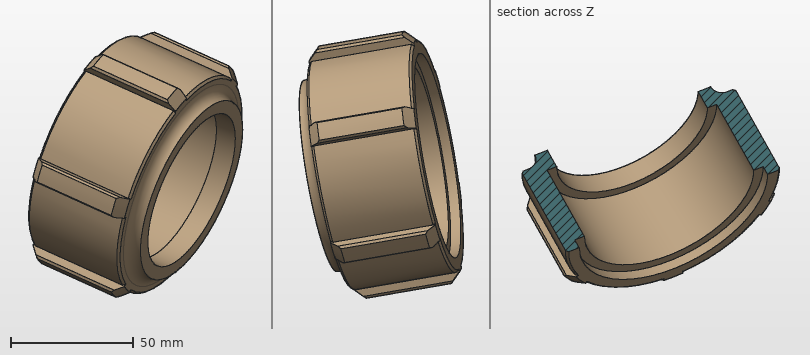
import cadquery as cq
import math

body_length = 44.0
total_length = 49.0
body_radius = 96.7 / 2
edge_chamfer = 1.0

through_radius = 67.9 / 2
main_bore_radius = 76.4 / 2
mouth_radius = 84.9 / 2
mouth_depth = 4.2
main_bore_depth = 40.0

neck_end_radius = 39.8
neck_round = total_length - body_length

rib_count = 6
rib_tip_radius = 52.7
rib_half_angle = math.radians(5.1)
rib_root_radius = 45.4
rib_end_chamfer = 4.2
rib_corner_width = 0.8
rib_corner_height = 1.3


def make_body():
    """Solid ring body and neck, before boring."""
    arc_offset = neck_round * math.sqrt(0.5)
    arc_middle = (
        total_length - arc_offset,
        neck_end_radius + neck_round - arc_offset,
    )
    return (
        cq.Workplane("XY")
        .lineTo(0, body_radius - edge_chamfer)
        .lineTo(edge_chamfer, body_radius)
        .lineTo(body_length - edge_chamfer, body_radius)
        .lineTo(body_length, body_radius - edge_chamfer)
        .lineTo(body_length, neck_end_radius + neck_round)
        .threePointArc(arc_middle, (total_length, neck_end_radius))
        .lineTo(total_length, 0)
        .close()
        .revolve(360, (0, 0, 0), (1, 0, 0))
    )


def make_rib_envelope():
    """Cylinder with conical ends that trims the rib tips and rib ends."""
    return (
        cq.Workplane("YZ")
        .circle(rib_tip_radius)
        .extrude(body_length)
        .faces("<X or >X")
        .chamfer(rib_end_chamfer)
    )


def make_rib():
    """Rib on the +Z side: it widens outwards and has bevelled tip corners."""
    flank_slope = math.tan(rib_half_angle)
    shoulder_z = rib_tip_radius - rib_corner_height
    root_y = rib_root_radius * flank_slope
    shoulder_y = shoulder_z * flank_slope
    tip_y = shoulder_y - rib_corner_width
    outline = [
        (-root_y, rib_root_radius),
        (-shoulder_y, shoulder_z),
        (-tip_y, rib_tip_radius),
        (tip_y, rib_tip_radius),
        (shoulder_y, shoulder_z),
        (root_y, rib_root_radius),
    ]
    return cq.Workplane("YZ").polyline(outline).close().extrude(body_length)


def cut_bore(part, radius, depth):
    """Bore a round hole from the open face."""
    return part.cut(cq.Workplane("YZ").circle(radius).extrude(depth))


result = make_body()

rib = make_rib().intersect(make_rib_envelope())
for index in range(rib_count):
    angle = index * 360 / rib_count
    result = result.union(rib.rotate((0, 0, 0), (1, 0, 0), angle))

result = cut_bore(result, mouth_radius, mouth_depth)
result = cut_bore(result, main_bore_radius, main_bore_depth)
result = cut_bore(result, through_radius, total_length)